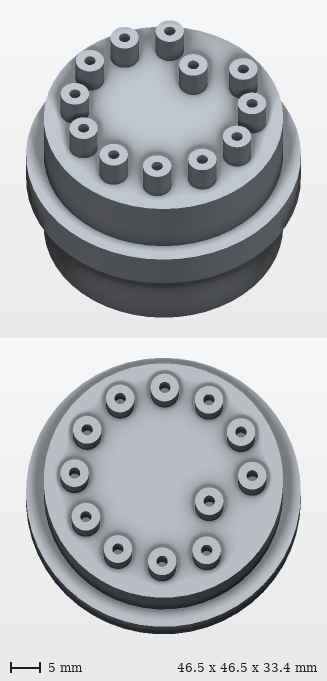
import cadquery as cq
import math

flange_diameter = 46.5
body_diameter = 40.5
lower_body_height = 12.5
flange_height = 6.2
upper_body_height = 9.65
body_height = lower_body_height + flange_height + upper_body_height

pin_diameter = 4.8
pin_bore_diameter = 1.9
pin_height = 5.0
pin_bore_depth = pin_height
pin_positions = 12
pin_circle_radius = 15.0
key_pin_radius = 9.0
key_pin_angle = 90


def pin_centers():
    """Evenly spaced pin centers, with the key pin moved toward the axis."""
    centers = []
    for index in range(pin_positions):
        angle = index * 360 // pin_positions
        radius = key_pin_radius if angle == key_pin_angle else pin_circle_radius
        direction = math.radians(angle)
        centers.append((radius * math.cos(direction), radius * math.sin(direction)))
    return centers


def make_body():
    body = cq.Workplane("XY").circle(body_diameter / 2).extrude(body_height)
    flange = (
        cq.Workplane("XY")
        .workplane(offset=lower_body_height)
        .circle(flange_diameter / 2)
        .extrude(flange_height)
    )
    return body.union(flange)


def make_pins():
    """Solid pins rising from the top face of the body."""
    return (
        cq.Workplane("XY")
        .workplane(offset=body_height)
        .pushPoints(pin_centers())
        .circle(pin_diameter / 2)
        .extrude(pin_height)
    )


def make_pin_bores():
    """Blind bores cut down from the pin tips."""
    return (
        cq.Workplane("XY")
        .workplane(offset=body_height + pin_height)
        .pushPoints(pin_centers())
        .circle(pin_bore_diameter / 2)
        .extrude(-pin_bore_depth)
    )


result = make_body().union(make_pins()).cut(make_pin_bores())